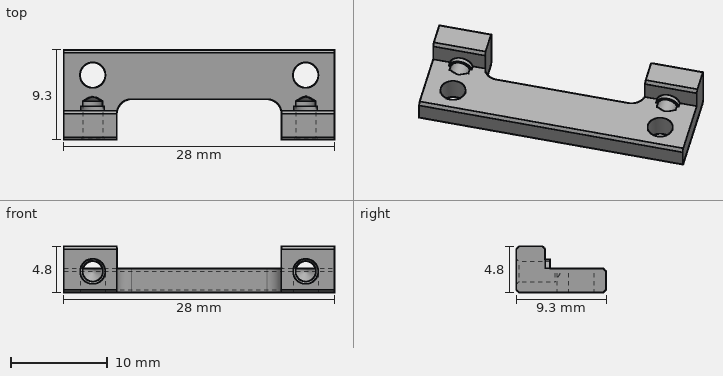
import cadquery as cq
import math

length = 28.0
depth = 9.3
height = 4.8
plate_thickness = 2.5
edge_chamfer = 0.3

foot_width = 5.5
block_depth = 3.0
recess_edge_y = 4.2
recess_corner_radius = 1.5

hole_spacing = 22.0
plate_hole_diameter = 2.6
plate_hole_y = 6.7

bore_diameter = 2.1
bore_z = 2.2
bore_depth = 4.0
drill_point_angle = 118.0
countersink_diameter = 2.6
collar_diameter = 2.5
collar_length = 0.5

hole_positions = (-hole_spacing / 2, hole_spacing / 2)
recess_length = length - 2 * foot_width


def make_body():
    """L-shaped section with chamfered outer corners, extruded along X."""
    c = edge_chamfer
    return (
        cq.Workplane("YZ")
        .moveTo(c, 0)
        .lineTo(depth - c, 0)
        .lineTo(depth, c)
        .lineTo(depth, plate_thickness - c)
        .lineTo(depth - c, plate_thickness)
        .lineTo(block_depth, plate_thickness)
        .lineTo(block_depth, height - c)
        .lineTo(block_depth - c, height)
        .lineTo(c, height)
        .lineTo(0, height - c)
        .lineTo(0, c)
        .close()
        .extrude(length / 2, both=True)
    )


def make_recess():
    """Opening between the feet, rounded at its two inner corners."""
    return (
        cq.Workplane("XY")
        .rect(recess_length, 2 * recess_edge_y)
        .extrude(height)
        .edges("|Z and >Y")
        .fillet(recess_corner_radius)
    )


def make_collar(x):
    """Round collar reaching from inside the block past its rear face."""
    front_y = block_depth / 2
    return (
        cq.Workplane("XZ", origin=(x, front_y, bore_z))
        .circle(collar_diameter / 2)
        .extrude(-(block_depth + collar_length - front_y))
    )


def make_bore(x):
    """Countersunk blind hole along Y with a conical drill point."""
    radius = bore_diameter / 2
    countersink_radius = countersink_diameter / 2
    countersink_depth = countersink_radius - radius
    point_length = radius / math.tan(math.radians(drill_point_angle / 2))
    return (
        cq.Workplane("XY", origin=(x, 0, bore_z))
        .lineTo(countersink_radius, 0)
        .lineTo(radius, countersink_depth)
        .lineTo(radius, bore_depth)
        .lineTo(0, bore_depth + point_length)
        .close()
        .revolve(360, (0, 0), (0, 1))
    )


def make_plate_hole(x):
    """Vertical through hole in the plate."""
    return (
        cq.Workplane("XY", origin=(x, plate_hole_y, 0))
        .circle(plate_hole_diameter / 2)
        .extrude(plate_thickness)
    )


result = make_body().cut(make_recess())
for hole_x in hole_positions:
    result = result.union(make_collar(hole_x))
    result = result.cut(make_bore(hole_x))
    result = result.cut(make_plate_hole(hole_x))